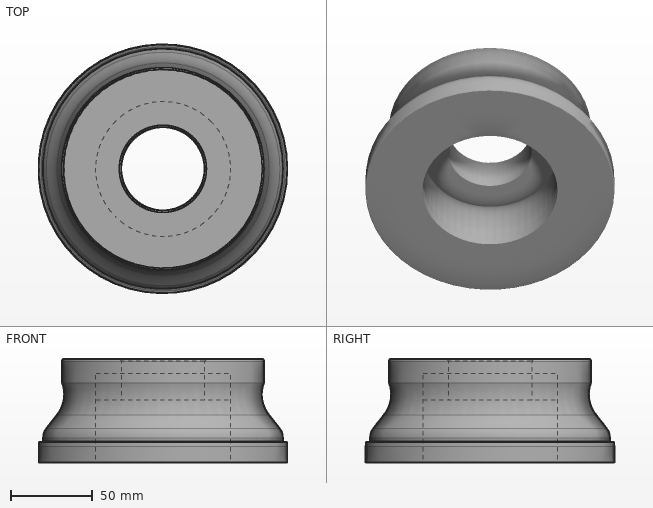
import cadquery as cq
import math

overall_height = 63.5
bore_radius = 25.4
bore_chamfer = 1.3

recess_radius = 41.3
top_wall_thickness = 8.7
insert_thickness = 16.3
recess_top = overall_height - top_wall_thickness

rim_radius = 76.2
rim_height = 12.7
rim_straight_height = 10.1
rim_bottom_chamfer = 0.4
crest_radius = 74.65

foot_radius = 73.5
foot_top = 15.1
foot_relief_top = 13.7
hub_radius = 61.9
hub_bottom = 49.0
hub_edge_round_width = 1.1
hub_edge_round_height = 1.5

cone_angle = math.radians(38.3)
shoulder_arc_radius = 9.525
neck_start_radius = 64.9

relief_slope = math.tan(math.radians(4))
rim_edge_radius = rim_radius - (rim_height - rim_straight_height) * relief_slope
rim_edge_height = rim_height - (rim_edge_radius - crest_radius) * relief_slope
groove_radius = foot_radius - (foot_relief_top - rim_height) * relief_slope
groove_height = rim_height - (crest_radius - groove_radius) * relief_slope


def shoulder_point(angle):
    """Point (r, z) on the convex arc, where the wall leans inward by the given angle."""
    r = foot_radius - shoulder_arc_radius * (1 - math.cos(angle))
    z = foot_top + shoulder_arc_radius * math.sin(angle)
    return (r, z)


def make_housing():
    """Bell-shaped turned housing with a rim, a chamfered bore and a wide recess below."""
    cone_bottom = shoulder_point(cone_angle)
    cone_rise = (cone_bottom[0] - neck_start_radius) / math.tan(cone_angle)
    cone_top = (neck_start_radius, cone_bottom[1] + cone_rise)
    profile = (
        cq.Workplane("XZ")
        .moveTo(recess_radius, 0)
        .lineTo(rim_radius - rim_bottom_chamfer, 0)
        .lineTo(rim_radius, rim_bottom_chamfer)
        .lineTo(rim_radius, rim_straight_height)
        .lineTo(rim_edge_radius, rim_edge_height)
        .lineTo(crest_radius, rim_height)
        .lineTo(groove_radius, groove_height)
        .lineTo(foot_radius, foot_relief_top)
        .lineTo(foot_radius, foot_top)
        .threePointArc(shoulder_point(cone_angle / 2), cone_bottom)
        .lineTo(*cone_top)
        .tangentArcPoint((hub_radius, hub_bottom), relative=False)
        .lineTo(hub_radius, overall_height - hub_edge_round_height)
        .tangentArcPoint((hub_radius - hub_edge_round_width, overall_height), relative=False)
        .lineTo(bore_radius + bore_chamfer, overall_height)
        .lineTo(bore_radius, overall_height - bore_chamfer)
        .lineTo(bore_radius, recess_top)
        .lineTo(recess_radius, recess_top)
        .close()
    )
    return profile.revolve(360, (0, 0, 0), (0, 1, 0))


def make_insert():
    """Plain ring that fills the upper end of the recess and continues the housing's bore."""
    return (
        cq.Workplane("XY", origin=(0, 0, recess_top - insert_thickness))
        .circle(recess_radius)
        .circle(bore_radius)
        .extrude(insert_thickness)
    )


housing = make_housing()
insert = make_insert()

result = cq.Compound.makeCompound([housing.val(), insert.val()])